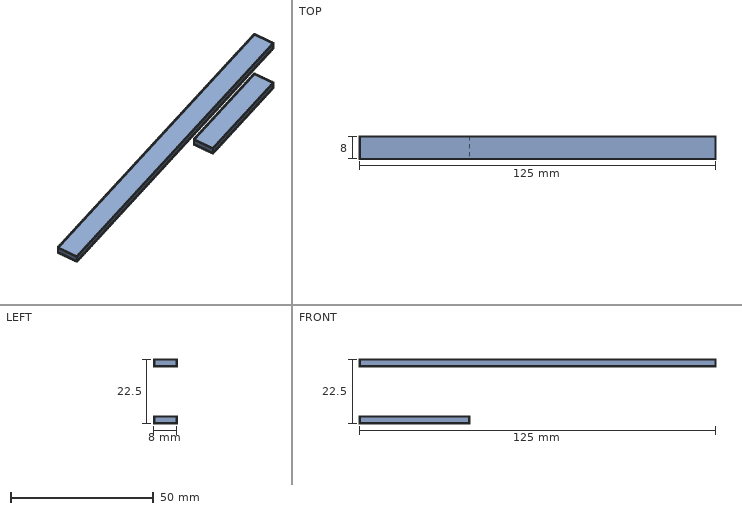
import cadquery as cq

long_length = 125.0
short_length = 38.5
bar_width = 8.0
bar_thickness = 2.5
overall_height = 22.5

long_bar_base = overall_height - bar_thickness


def flat_bar(length, base_height):
    """Rectangular bar starting at X = 0, centred on Y, resting at base_height."""
    return (
        cq.Workplane("XY")
        .workplane(offset=base_height)
        .box(length, bar_width, bar_thickness, centered=(False, True, False))
    )


short_bar = flat_bar(short_length, 0)
long_bar = flat_bar(long_length, long_bar_base)

result = cq.Compound.makeCompound([short_bar.val(), long_bar.val()])